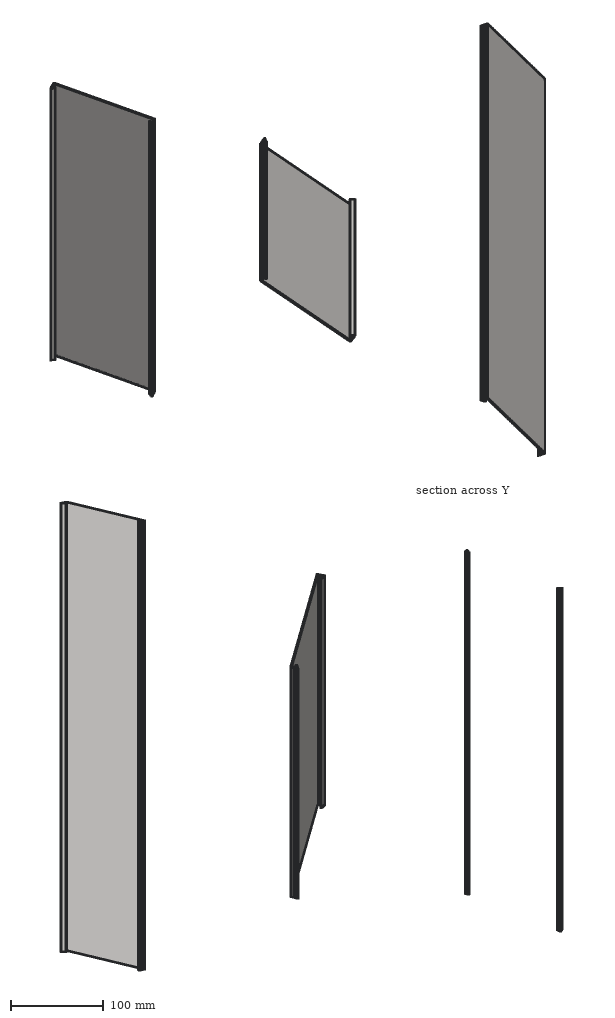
import cadquery as cq
import math

length = 500.0
cover_width = 120.0
depth = 9.0

plate_thickness = 1.35
leg_thickness = 1.75
corner_chamfer = 0.5
barb_reach = 4.5
barb_shoulder = 5.0
barb_angle = 30.0

strip_thickness = 0.75
strip_top = 3.75
rib_offset = 1.5
rib_width = 1.75
rib_height = 0.2

half_width = cover_width / 2
slope = math.tan(math.radians(barb_angle))


def lead_in_depth(inset):
    """Depth of the sloped lead-in face at a distance inward from the outer face."""
    return depth - inset * slope


def make_bar(outline, side):
    """Full-length bar from (inset, depth) points; side is -1 or +1 along X."""
    points = [(side * (half_width - inset), -point_depth) for inset, point_depth in outline]
    return cq.Workplane("XY").polyline(points).close().extrude(length)


def make_plate():
    """Flat plate with its back face on Y = 0 and chamfered long back corners."""
    return (
        cq.Workplane("XY")
        .box(cover_width, plate_thickness, length, centered=(True, False, False))
        .translate((0, -plate_thickness, 0))
        .edges("|Z and >Y")
        .chamfer(corner_chamfer)
    )


def make_leg(side):
    """Leg under one long edge, with an inward barb and a seat for the side strip."""
    outline = [
        (0, plate_thickness),
        (leg_thickness, plate_thickness),
        (leg_thickness, barb_shoulder),
        (barb_reach, barb_shoulder),
        (barb_reach, lead_in_depth(barb_reach)),
        (strip_thickness, lead_in_depth(strip_thickness)),
        (strip_thickness, strip_top),
        (0, strip_top),
    ]
    return make_bar(outline, side)


def make_cover():
    """Plate and both legs in one piece."""
    cover = make_plate()
    for side in (-1, 1):
        cover = cover.union(make_leg(side))
    return cover


def make_strip(side):
    """Strip filling the seat of one leg, with a low rib on its outer face."""
    rib_top = strip_top + rib_offset
    rib_bottom = rib_top + rib_width
    outline = [
        (0, strip_top),
        (strip_thickness, strip_top),
        (strip_thickness, lead_in_depth(strip_thickness)),
        (0, depth),
        (0, rib_bottom),
        (-rib_height, rib_bottom),
        (-rib_height, rib_top),
        (0, rib_top),
    ]
    return make_bar(outline, side)


cover = make_cover()
strips = [make_strip(side) for side in (-1, 1)]

result = cq.Compound.makeCompound([cover.solids().val(), *[strip.val() for strip in strips]])